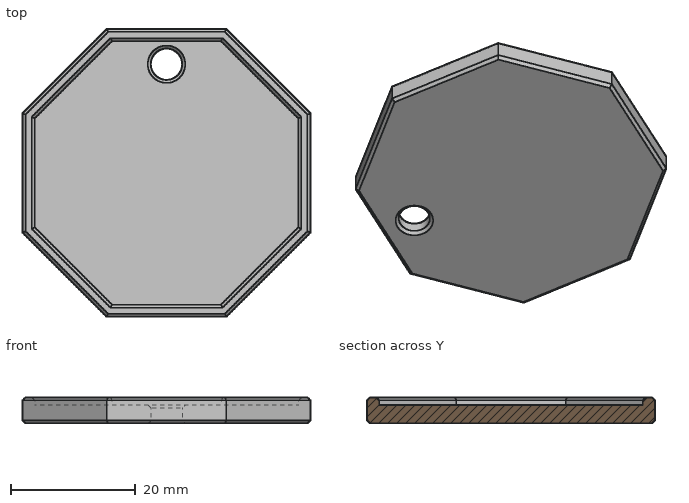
import cadquery as cq
import math

width = 46.2
thickness = 4.2
edge_chamfer = 0.5

rim_width = 1.5
recess_depth = 1.2
rim_chamfer = 0.5

hole_diameter = 5.0
hole_chamfer = 0.5
hole_center_y = 17.4

bevel_angle = 45
floor_z = thickness - recess_depth


def octagon(across_flats, z):
    """Regular octagon at height z, with flats facing X and Y."""
    half_flat = across_flats / 2
    half_side = half_flat * math.tan(math.pi / 8)
    corners = [
        (half_flat, half_side),
        (half_side, half_flat),
        (-half_side, half_flat),
        (-half_flat, half_side),
        (-half_flat, -half_side),
        (-half_side, -half_flat),
        (half_side, -half_flat),
        (half_flat, -half_side),
    ]
    return cq.Workplane("XY", origin=(0, 0, z)).polyline(corners).close()


def make_plate():
    """Octagonal plate, bevelled around both faces."""
    plate = octagon(width, 0).extrude(thickness)
    return plate.faces("<Z or >Z").chamfer(edge_chamfer)


def make_recess():
    """Cutter for the recess: straight walls below a bevelled upper edge."""
    opening = width - 2 * rim_width
    walls = octagon(opening - 2 * rim_chamfer, floor_z).extrude(recess_depth)
    bevel = octagon(opening, thickness).extrude(-rim_chamfer, taper=bevel_angle)
    return walls.union(bevel)


def hole_circle(radius, z):
    """Circle on the hole axis at height z."""
    return cq.Workplane("XY", origin=(0, hole_center_y, z)).circle(radius)


def make_hole():
    """Cutter for the through hole, bevelled at the recess floor and the underside."""
    radius = hole_diameter / 2
    mouth_radius = radius + hole_chamfer
    bore = hole_circle(radius, 0).extrude(floor_z)
    top_bevel = hole_circle(mouth_radius, floor_z).extrude(-hole_chamfer, taper=bevel_angle)
    bottom_bevel = hole_circle(mouth_radius, 0).extrude(hole_chamfer, taper=bevel_angle)
    return bore.union(top_bevel).union(bottom_bevel)


result = make_plate().cut(make_recess()).cut(make_hole())